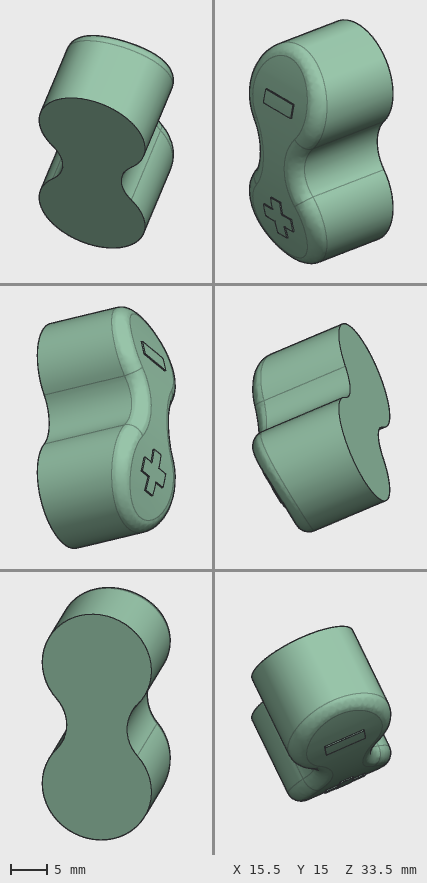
import cadquery as cq
import math

length = 33.5
lobe_radius = 7.755
waist_half_width = 4.3
depth = 15.0
dome_radius = 42.0
edge_radius = 2.0
mark_length = 6.0
mark_width = 2.0
mark_height = 0.2

lobe_z = length / 2 - lobe_radius
waist_radius = (waist_half_width**2 + lobe_z**2 - lobe_radius**2) / (2 * (lobe_radius - waist_half_width))
blend_angle = math.atan2(lobe_z, waist_half_width + waist_radius)
joint_x = lobe_radius * math.cos(blend_angle)
joint_z = lobe_z - lobe_radius * math.sin(blend_angle)


def crown_cylinder(radius):
    """Cylinder along X, coaxial with the crown."""
    return (
        cq.Workplane("YZ")
        .center(depth - dome_radius, 0)
        .circle(radius)
        .extrude(length, both=True)
    )


def make_body():
    """Prism standing on its flat face at Y = 0, domed and rounded at the back."""
    prism = (
        cq.Workplane("XZ")
        .moveTo(joint_x, joint_z)
        .threePointArc((0, length / 2), (-joint_x, joint_z))
        .threePointArc((-waist_half_width, 0), (-joint_x, -joint_z))
        .threePointArc((0, -length / 2), (joint_x, -joint_z))
        .threePointArc((waist_half_width, 0), (joint_x, joint_z))
        .close()
        .extrude(-depth)
    )
    return prism.intersect(crown_cylinder(dome_radius)).faces(">Y").edges().fillet(edge_radius)


def mark_bar(size_x, size_z, center_z):
    """Thin raised bar following the crown, rooted inside the body."""
    bar = (
        cq.Workplane("XZ")
        .center(0, center_z)
        .rect(size_x, size_z)
        .extrude(-depth)
        .translate((0, depth / 2, 0))
    )
    return bar.intersect(crown_cylinder(dome_radius + mark_height))


minus_mark = mark_bar(mark_length, mark_width, lobe_z)
plus_mark = mark_bar(mark_length, mark_width, -lobe_z).union(mark_bar(mark_width, mark_length, -lobe_z))

result = make_body().union(minus_mark).union(plus_mark)